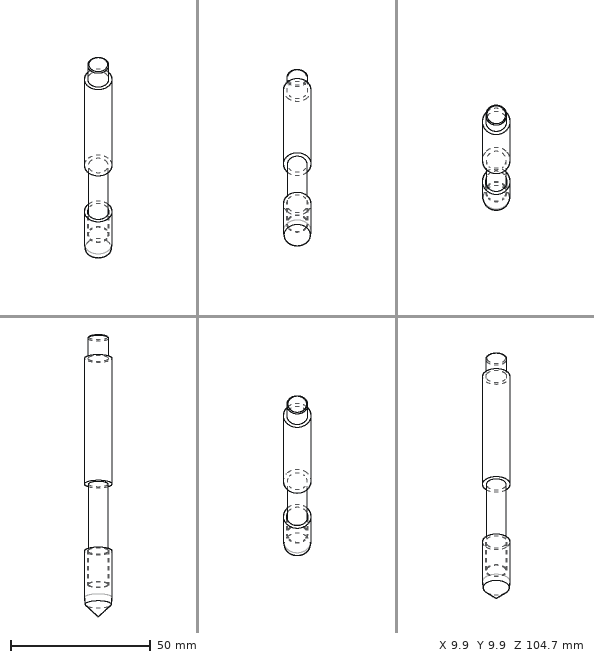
import cadquery as cq

total_length = 104.7
body_diameter = 9.9

stub_diameter = 7.5
stub_length = 8.0
stub_chamfer = 0.4
barrel_length = 47.0
barrel_top = total_length - stub_length
barrel_bottom = barrel_top - barrel_length
neck_diameter = 7.0

head_top = 24.7
taper_top = 7.2
tip_height = 4.7
tip_radius = tip_height
bore_diameter = 7.6
bore_depth = 12.6
bore_floor = head_top - bore_depth


def cylinder(diameter, bottom, top):
    """Cylinder on the Z axis between two heights."""
    return cq.Workplane("XY").workplane(offset=bottom).circle(diameter / 2).extrude(top - bottom)


def make_shaft():
    """Stub, barrel and neck in one piece; the neck rests on the bore floor of the head."""
    stub = cylinder(stub_diameter, barrel_top, total_length).faces(">Z").chamfer(stub_chamfer)
    barrel = cylinder(body_diameter, barrel_bottom, barrel_top)
    neck = cylinder(neck_diameter, bore_floor, barrel_bottom)
    return barrel.union(stub).union(neck)


def make_head():
    """Revolved cap with a slight taper leading into the conical tip, bored from above."""
    profile = (
        cq.Workplane("XZ")
        .moveTo(0, 0)
        .lineTo(tip_radius, tip_height)
        .lineTo(body_diameter / 2, taper_top)
        .lineTo(body_diameter / 2, head_top)
        .lineTo(0, head_top)
        .close()
    )
    blank = profile.revolve(360, (0, 0, 0), (0, 1, 0))
    return blank.cut(cylinder(bore_diameter, bore_floor, head_top))


shaft = make_shaft()
head = make_head()

result = cq.Compound.makeCompound([shaft.val(), head.val()])